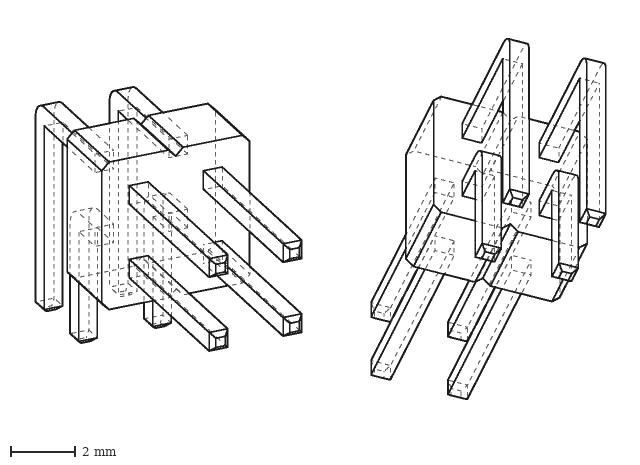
import cadquery as cq


PITCH = 2.54
COLUMNS = 2
ROWS = 2

BODY_CHAMFER = PITCH / 10
BODY_LENGTH = PITCH
BODY_HEIGHT = ROWS * PITCH
BODY_BACK = 1.5

PIN_WIDTH = 0.64
BEND_RADIUS = PIN_WIDTH
TIP_CHAMFER = PIN_WIDTH / 4
MATING_LENGTH = 6.0
TAIL_LENGTH = 3.0

BODY_FRONT = BODY_BACK + BODY_LENGTH


def column_y(column):
    """Y position of a pin column, with the columns centred on Y = 0."""
    return (column - (COLUMNS - 1) / 2) * PITCH


def body_segment(column):
    """One column's block of the insulator, chamfered along its four X edges."""
    return (
        cq.Workplane("XY")
        .box(BODY_LENGTH, PITCH, BODY_HEIGHT, centered=(False, True, False))
        .edges("|X")
        .chamfer(BODY_CHAMFER)
        .translate((BODY_BACK, column_y(column), 0))
    )


def pin(row, column):
    """Bent square pin; each higher row has its tail one pitch further back."""
    axis_z = (row + 0.5) * PITCH
    back = -row * PITCH - PIN_WIDTH / 2
    top = axis_z + PIN_WIDTH / 2
    tip_x = BODY_FRONT + MATING_LENGTH

    mating_leg = (
        cq.Workplane("XY")
        .box(tip_x - back, PIN_WIDTH, PIN_WIDTH, centered=(False, True, False))
        .faces(">X")
        .chamfer(TIP_CHAMFER)
        .translate((back, 0, top - PIN_WIDTH))
    )
    tail_leg = (
        cq.Workplane("XY")
        .box(PIN_WIDTH, PIN_WIDTH, top + TAIL_LENGTH, centered=(False, True, False))
        .faces("<Z")
        .chamfer(TIP_CHAMFER)
        .translate((back, 0, -TAIL_LENGTH))
    )
    outer_corner = (
        cq.Workplane("XY")
        .box(BEND_RADIUS, PIN_WIDTH, BEND_RADIUS, centered=(False, True, False))
        .translate((back, 0, top - BEND_RADIUS))
    )
    bend = (
        cq.Workplane("XZ")
        .center(back + BEND_RADIUS, top - BEND_RADIUS)
        .circle(BEND_RADIUS)
        .extrude(PIN_WIDTH / 2, both=True)
        .intersect(outer_corner)
    )
    bent_pin = mating_leg.union(tail_leg).cut(outer_corner).union(bend)
    return bent_pin.translate((0, column_y(column), 0))


result = body_segment(0)
for column in range(1, COLUMNS):
    result = result.union(body_segment(column))

for column in range(COLUMNS):
    for row in range(ROWS):
        result = result.union(pin(row, column))

result = result.clean()